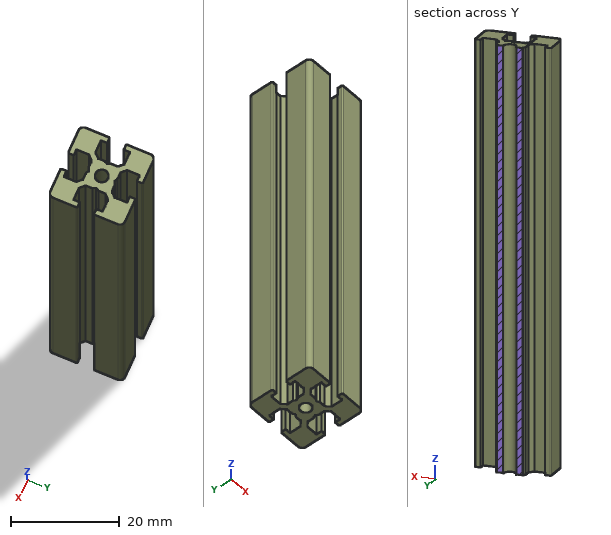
import cadquery as cq

side = 15.0
length = 83.0
corner_radius = 1.0
bore_diameter = 2.5

mouth_width = 3.3
lip_thickness = 1.2
lip_radius = 0.25
chamber_width = 5.8
floor_height = 2.9
floor_chamfer = 0.9
groove_width = 1.25
groove_depth = 0.3

half_side = side / 2


def slot_cutter():
    """T-slot opening toward +Y, with chamfered floor corners and a V-groove in the floor."""
    mouth = mouth_width / 2
    chamber = chamber_width / 2
    groove = groove_width / 2
    lip_height = half_side - lip_thickness
    right_side = [
        (groove, floor_height),
        (chamber - floor_chamfer, floor_height),
        (chamber, floor_height + floor_chamfer),
        (chamber, lip_height),
        (mouth, lip_height),
    ]
    left_side = [(-x, y) for x, y in reversed(right_side)]
    return (
        cq.Workplane("XY")
        .moveTo(0, floor_height - groove_depth)
        .polyline(right_side, includeCurrent=True)
        .lineTo(mouth, half_side - lip_radius)
        .radiusArc((mouth + lip_radius, half_side), lip_radius)
        .lineTo(-mouth - lip_radius, half_side)
        .radiusArc((-mouth, half_side - lip_radius), lip_radius)
        .polyline(left_side, includeCurrent=True)
        .close()
        .extrude(length)
    )


bar = cq.Workplane("XY").rect(side, side).extrude(length)
bar = bar.edges("|Z").fillet(corner_radius)
bar = bar.cut(cq.Workplane("XY").circle(bore_diameter / 2).extrude(length))

for quarter_turn in range(4):
    bar = bar.cut(slot_cutter().rotate((0, 0, 0), (0, 0, 1), 90 * quarter_turn))

result = bar